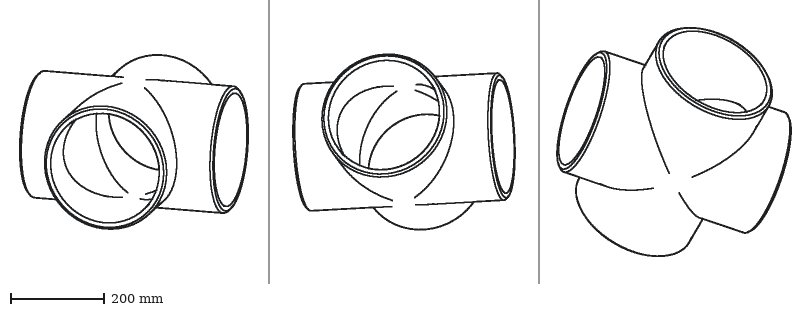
import cadquery as cq

length = 432.0
outer_diameter = 273.0
bore_diameter = 242.5
bevel = 5.0


def cylinder_along(plane, diameter):
    """Cylinder of full run length, centred on the origin, normal to the plane."""
    return cq.Workplane(plane).circle(diameter / 2).extrude(length / 2, both=True)


def bevelled_run(plane):
    """Solid pipe run with a bevel around both ends."""
    return cylinder_along(plane, outer_diameter).edges("%CIRCLE").chamfer(bevel)


run_planes = ("YZ", "XZ")

result = bevelled_run(run_planes[0]).union(bevelled_run(run_planes[1]))

for run_plane in run_planes:
    result = result.cut(cylinder_along(run_plane, bore_diameter))